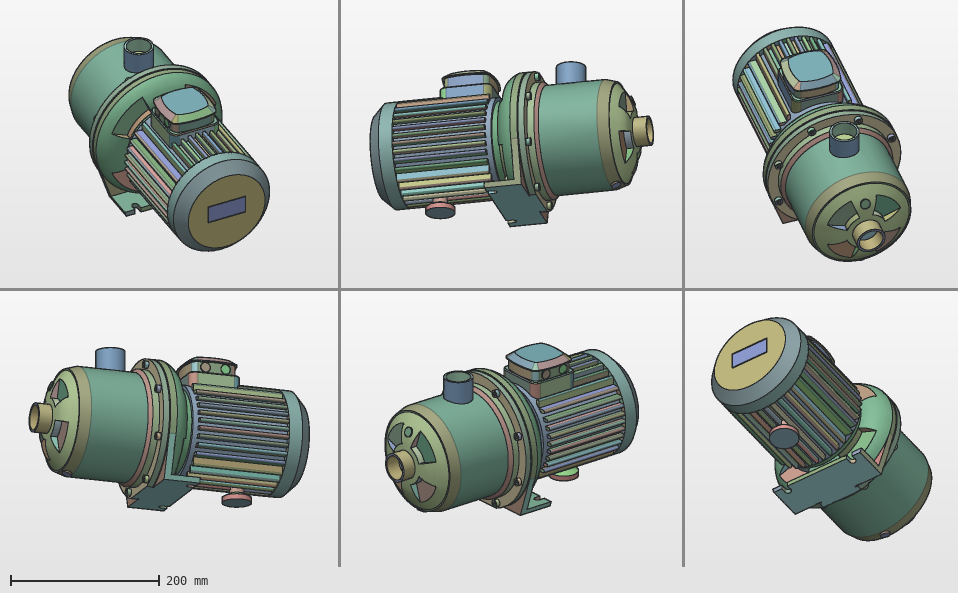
import cadquery as cq
import math


port_radius = 40.0 / 2
port_bore_radius = 34.0 / 2
port_bore_depth = 20.5
outlet_x = 109.8
outlet_top_z = 104.0

hub_x = 19.0
dome_points = [(20.3, 32.5), (22.5, 41.7), (27.0, 51.0)]
dome_end_x = 39.0
dome_end_radius = 136.0 / 2
shoulder_start_radius = 70.5
shoulder_end_x = 54.5
barrel_radius = 150.0 / 2
flare_start_x = 136.0
flare_end_x = 141.0
collar_radius = 160.0 / 2
dome_pocket_floor_x = 29.7
dome_pocket_inner_radius = 28.5
dome_pocket_outer_radius = 55.5
dome_pocket_angle = 51.5

plug_radius = 13.5 / 2
plug_length = 7.5
plug_tilt = 22.5
vent_plug_face = (23.0, 46.5)
drain_plug_face = (46.5, -75.2)

flange_radius = 190.0 / 2
flange_start_x = 150.8
joint_x = 161.0
joint_groove_width = 1.0
joint_groove_depth = 0.95
plate_end_x = 170.7
base_z = -90.0
base_half_width = 70.0
base_end_x = 212.5
base_thickness = 7.0
base_slot_width = 9.0
base_slot_depth = 12.8
base_slot_y = 52.5

lantern_mid_x = 187.0
lantern_mid_radius = 84.0
lantern_end_x = 195.5
lantern_pocket_floor_x = 185.7
lantern_pocket_angle = 45
neck_radius = 120.0 / 2

motor_core_start_x = 204.5
motor_core_radius = 130.0 / 2
fins_start_x = 212.0
fins_end_x = 340.5
motor_radius = 145.0 / 2
fin_width = 5.0
fin_pitch = 11.0
fins_each_side_of_middle = 4
cover_bevel_x = 359.5
cover_end_x = 375.0
cover_end_radius = 58.0
name_plate_width = 56.5
name_plate_height = 25.5
name_plate_center_z = 3.5
name_plate_end_x = 376.0

box_size = 73.0
box_center_x = fins_start_x + box_size / 2
box_corner_radius = 10.0
box_bottom_z = 45.0
box_top_z = 78.2
box_top_chamfer = 1.5
lid_wall_half = 34.5
lid_brim_half = 37.0
lid_top_half = 28.2
lid_side_bulge = 4.5
lid_corner_radius = 9.5
lid_top_corner_radius = 3.8
brim_z = 93.2
brim_thickness = 1.5
lid_top_z = 102.0
cable_entry_diameter = 13.5
cable_entry_spacing = 29.0
cable_entry_z = 85.7
cable_entry_depth = 3.8

leveller_x = 291.8
leveller_stem_radius = 20.0 / 2
leveller_pad_radius = 40.0 / 2
leveller_cone_top_z = -77.5
leveller_pad_top_z = -82.7

bolt_count = 8
bolt_circle_radius = 87.2
bolt_head_diameter = 10.0
bolt_head_height = 5.5
bolt_socket_size = 5.0
bolt_socket_depth = 3.0


def cylinder_x(radius, start_x, end_x):
    """Cylinder on the pump axis."""
    return cq.Workplane("YZ", origin=(start_x, 0, 0)).circle(radius).extrude(end_x - start_x)


def revolve_x(profile):
    return profile.close().revolve(360, (0, 0, 0), (1, 0, 0))


def polar_point(radius, angle):
    turn = math.radians(angle)
    return (radius * math.cos(turn), radius * math.sin(turn))


def diagonal_pockets(inner_radius, outer_radius, angle, start_x, end_x):
    """Four ring sectors around the pump axis, midway between the Y and Z directions."""
    pockets = cq.Workplane("YZ", origin=(start_x, 0, 0))
    for middle in (45, 135, 225, 315):
        first = middle - angle / 2
        last = middle + angle / 2
        pockets = (
            pockets.moveTo(*polar_point(inner_radius, first))
            .lineTo(*polar_point(outer_radius, first))
            .threePointArc(polar_point(outer_radius, middle), polar_point(outer_radius, last))
            .lineTo(*polar_point(inner_radius, last))
            .threePointArc(polar_point(inner_radius, middle), polar_point(inner_radius, first))
            .close()
        )
    return pockets.extrude(end_x - start_x)


def make_plug(face_center, normal):
    """Round plug in the XZ plane whose outer face looks along the normal."""
    x, z = face_center
    face = cq.Plane(origin=(x, 0, z), xDir=(0, 1, 0), normal=(normal[0], 0, normal[1]))
    return cq.Workplane(face).circle(plug_radius).extrude(-plug_length)


def cut_flat_at_base(body):
    below_base = (
        cq.Workplane("XY", origin=(joint_x, 0, base_z))
        .rect(2 * flange_radius, 2 * flange_radius)
        .extrude(-flange_radius)
    )
    return body.cut(below_base)


def make_casing():
    casing = revolve_x(
        cq.Workplane("XY")
        .moveTo(hub_x, 0)
        .lineTo(hub_x, port_radius)
        .spline([*dome_points, (dome_end_x, dome_end_radius)], includeCurrent=True)
        .lineTo(dome_end_x, shoulder_start_radius)
        .lineTo(shoulder_end_x, barrel_radius)
        .lineTo(flare_start_x, barrel_radius)
        .lineTo(flare_end_x, collar_radius)
        .lineTo(flange_start_x, collar_radius)
        .lineTo(flange_start_x, 0)
    )
    casing = casing.cut(
        diagonal_pockets(
            dome_pocket_inner_radius, dome_pocket_outer_radius, dome_pocket_angle, 0, dome_pocket_floor_x
        )
    )
    tilt = math.radians(plug_tilt)
    casing = casing.union(make_plug(vent_plug_face, (-math.cos(tilt), math.sin(tilt))))
    casing = casing.union(make_plug(drain_plug_face, (-math.sin(tilt), -math.cos(tilt))))

    inlet = cylinder_x(port_radius, 0, dome_pocket_floor_x)
    inlet_bore = cylinder_x(port_bore_radius, 0, port_bore_depth)
    outlet = cq.Workplane("XY", origin=(outlet_x, 0, 0)).circle(port_radius).extrude(outlet_top_z)
    outlet_bore = (
        cq.Workplane("XY", origin=(outlet_x, 0, outlet_top_z))
        .circle(port_bore_radius)
        .extrude(-port_bore_depth)
    )
    return casing.union(inlet).union(outlet).cut(inlet_bore).cut(outlet_bore)


def make_flange():
    """Casing flange and the narrow groove behind it, both cut flat at the base."""
    groove_start_x = joint_x - joint_groove_width
    flange = cylinder_x(flange_radius, flange_start_x, groove_start_x)
    flange = flange.union(cylinder_x(flange_radius - joint_groove_depth, groove_start_x, joint_x))
    return cut_flat_at_base(flange)


def make_support():
    """Round plate whose sides run down as tangents to a flat base, with a foot behind it."""
    corner_distance = math.hypot(base_half_width, base_z)
    tangent_angle = math.atan2(base_z, base_half_width) + math.acos(flange_radius / corner_distance)
    tangent_y = flange_radius * math.cos(tangent_angle)
    tangent_z = flange_radius * math.sin(tangent_angle)
    outline = (
        cq.Workplane("YZ", origin=(joint_x, 0, 0))
        .moveTo(-base_half_width, base_z)
        .lineTo(base_half_width, base_z)
        .lineTo(tangent_y, tangent_z)
        .threePointArc((0, flange_radius), (-tangent_y, tangent_z))
        .close()
    )
    support = outline.extrude(base_end_x - joint_x)
    above_foot = (
        cq.Workplane("YZ", origin=(plate_end_x, 0, base_z + base_thickness + flange_radius))
        .rect(3 * flange_radius, 2 * flange_radius)
        .extrude(base_end_x - plate_end_x)
    )
    support = support.cut(above_foot)

    slot_length = 2 * base_slot_depth
    slots = (
        cq.Workplane("XY", origin=(base_end_x, 0, base_z))
        .pushPoints([(0, -base_slot_y), (0, base_slot_y)])
        .slot2D(slot_length, base_slot_width)
        .extrude(base_thickness)
    )
    return support.cut(slots)


def make_lantern():
    lantern = revolve_x(
        cq.Workplane("XY")
        .moveTo(plate_end_x, 0)
        .lineTo(plate_end_x, flange_radius)
        .threePointArc((lantern_mid_x, lantern_mid_radius), (lantern_end_x, neck_radius))
        .lineTo(lantern_end_x, 0)
    )
    pockets = diagonal_pockets(
        neck_radius / 2, flange_radius, lantern_pocket_angle, lantern_pocket_floor_x, lantern_end_x
    )
    neck = cylinder_x(neck_radius, plate_end_x, motor_core_start_x)
    return cut_flat_at_base(lantern.cut(pockets).union(neck))


def make_fin(offset, start_x):
    """Upright fin with a rounded crest that reaches the motor radius."""
    crest_z = math.sqrt(motor_radius**2 - offset**2)
    half_width = fin_width / 2
    return (
        cq.Workplane("YZ", origin=(start_x, offset, 0))
        .moveTo(-half_width, motor_core_radius / 2)
        .lineTo(half_width, motor_core_radius / 2)
        .lineTo(half_width, crest_z - half_width)
        .threePointArc((0, crest_z), (-half_width, crest_z - half_width))
        .close()
        .extrude(fins_end_x - start_x)
    )


def make_motor():
    motor = cylinder_x(motor_core_radius, motor_core_start_x, fins_end_x)
    for quarter in range(4):
        for step in range(-fins_each_side_of_middle, fins_each_side_of_middle + 1):
            offset = step * fin_pitch
            under_box = quarter == 0 and abs(offset) < box_size / 2
            fin = make_fin(offset, box_center_x if under_box else fins_start_x)
            motor = motor.union(fin.rotate((0, 0, 0), (1, 0, 0), 90 * quarter))
    fan_cover = revolve_x(
        cq.Workplane("XY")
        .moveTo(fins_end_x, 0)
        .lineTo(fins_end_x, motor_radius)
        .lineTo(cover_bevel_x, motor_radius)
        .lineTo(cover_end_x, cover_end_radius)
        .lineTo(cover_end_x, 0)
    )
    name_plate = (
        cq.Workplane("YZ", origin=(cover_end_x, 0, name_plate_center_z))
        .rect(name_plate_width, name_plate_height)
        .extrude(name_plate_end_x - cover_end_x)
    )
    return motor.union(fan_cover).union(name_plate)


def lid_outline(half_size, corner_radius, z):
    """Square wire with bulging sides and rounded corners, centred on the terminal box."""
    corner = half_size - lid_side_bulge
    outline = (
        cq.Workplane("XY")
        .moveTo(-corner, -corner)
        .threePointArc((0, -half_size), (corner, -corner))
        .threePointArc((half_size, 0), (corner, corner))
        .threePointArc((0, half_size), (-corner, corner))
        .threePointArc((-half_size, 0), (-corner, -corner))
        .close()
        .wire()
        .val()
    )
    rounded = outline.fillet2D(corner_radius, outline.Vertices())
    return rounded.translate(cq.Vector(box_center_x, 0, z))


def extrude_outline(outline, height):
    return cq.Workplane(cq.Solid.extrudeLinear(outline, [], cq.Vector(0, 0, height)))


def make_terminal_box():
    box = (
        cq.Workplane("XY", origin=(box_center_x, 0, box_bottom_z))
        .rect(box_size, box_size)
        .extrude(box_top_z - box_bottom_z)
        .edges("|Z")
        .fillet(box_corner_radius)
        .faces(">Z")
        .chamfer(box_top_chamfer)
    )
    wall = extrude_outline(lid_outline(lid_wall_half, lid_corner_radius, box_top_z), brim_z - box_top_z)
    brim = extrude_outline(lid_outline(lid_brim_half, lid_corner_radius, brim_z), brim_thickness)
    roof = cq.Workplane(
        cq.Solid.makeLoft(
            [
                lid_outline(lid_brim_half, lid_corner_radius, brim_z + brim_thickness),
                lid_outline(lid_top_half, lid_top_corner_radius, lid_top_z),
            ],
            True,
        )
    )
    cable_entries = (
        cq.Workplane("XZ", origin=(box_center_x, -lid_wall_half, cable_entry_z))
        .pushPoints([(-cable_entry_spacing / 2, 0), (cable_entry_spacing / 2, 0)])
        .circle(cable_entry_diameter / 2)
        .extrude(-cable_entry_depth)
    )
    return box.union(wall).union(brim).union(roof).union(cable_entries)


def make_leveller():
    return (
        cq.Workplane("XZ", origin=(leveller_x, 0, 0))
        .moveTo(0, -motor_core_radius + fin_width)
        .lineTo(leveller_stem_radius, -motor_core_radius + fin_width)
        .lineTo(leveller_stem_radius, leveller_cone_top_z)
        .lineTo(leveller_pad_radius, leveller_pad_top_z)
        .lineTo(leveller_pad_radius, base_z)
        .lineTo(0, base_z)
        .close()
        .revolve(360, (0, 0, 0), (0, 1, 0))
    )


def make_pump():
    pump = make_casing()
    for section in (
        make_flange(),
        make_support(),
        make_lantern(),
        make_motor(),
        make_terminal_box(),
        make_leveller(),
    ):
        pump = pump.union(section)
    return pump


def make_bolt(angle):
    """Socket head seated on the casing flange, at an angle around the pump axis."""
    center = (flange_start_x, *polar_point(bolt_circle_radius, angle))
    head = cq.Workplane("YZ", origin=center).circle(bolt_head_diameter / 2).extrude(-bolt_head_height)
    socket = (
        head.faces("<X")
        .workplane(centerOption="CenterOfMass")
        .polygon(6, bolt_socket_size, circumscribed=True)
        .extrude(-bolt_socket_depth, combine=False)
    )
    return head.cut(socket)


pump = make_pump()
bolt_pitch = 360 / bolt_count
bolts = [make_bolt(bolt_pitch * (number + 0.5)) for number in range(bolt_count)]

result = cq.Compound.makeCompound([pump.val(), *[bolt.val() for bolt in bolts]])